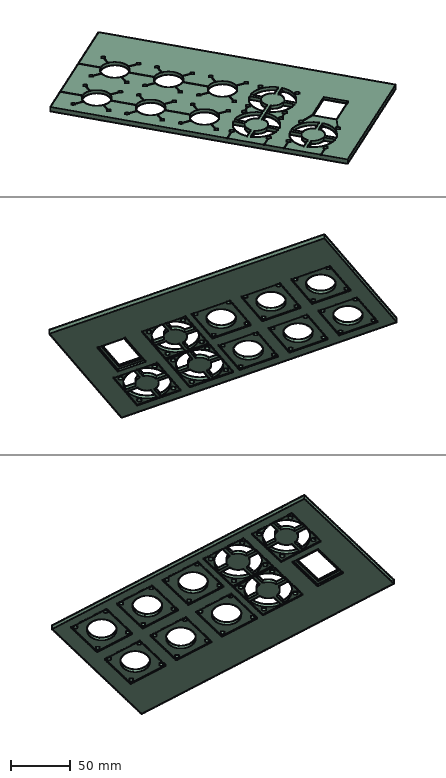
import cadquery as cq
import math

length = 262.0
width = 126.0
thickness = 4.5

connector_diameter = 25.0
connector_screw_diameter = 3.5
connector_screw_pitch = 31.2
connector_columns = 3
connector_rows = 2
connector_first_x = 32.2
connector_first_y = 26.2
connector_column_pitch = 47.5
connector_row_pitch = 47.2

fan_diameter = 39.8
hub_diameter = 19.6
strut_width = 3.1
fan_screw_diameter = 4.0
fan_screw_pitch = 32.5
left_fan_x = 172.1
right_fan_x = 222.2
lower_fan_y = 28.5
fan_pitch_y = 42.2

seat_web_thickness = 3.5
connector_seat_side = 36.7
fan_seat_side = 41.5

socket_width = 21.5
socket_height = 30.5
socket_bottom_y = 57.6
socket_lip_thickness = 2.0
socket_relief_margin = 2.5

groove_width = 0.1
groove_depth = 0.5

connector_xs = [connector_first_x + i * connector_column_pitch for i in range(connector_columns)]
connector_ys = [connector_first_y + i * connector_row_pitch for i in range(connector_rows)]
connector_centers = [(x, y) for x in connector_xs for y in connector_ys]
upper_fan_y = lower_fan_y + fan_pitch_y
lower_fans = [(left_fan_x, lower_fan_y), (right_fan_x, lower_fan_y)]
fan_centers = lower_fans + [(left_fan_x, upper_fan_y)]


def screw_points(center, pitch):
    """Corners of a square of side pitch around a center."""
    x, y = center
    half = pitch / 2
    return [(x + sx * half, y + sy * half) for sx in (-1, 1) for sy in (-1, 1)]


def through_holes(points, diameter):
    return cq.Workplane("XY").pushPoints(points).circle(diameter / 2).extrude(thickness)


def seats(points, side):
    """Square recesses in the underside that leave a thinner web above."""
    return cq.Workplane("XY").pushPoints(points).rect(side, side).extrude(thickness - seat_web_thickness)


def fan_opening(center):
    """Ring opening split into four quadrants by a cross of struts."""
    plane = cq.Workplane("XY").center(*center)
    ring = plane.circle(fan_diameter / 2).circle(hub_diameter / 2).extrude(thickness)
    strut_x = plane.rect(fan_diameter, strut_width).extrude(thickness)
    strut_y = plane.rect(strut_width, fan_diameter).extrude(thickness)
    return ring.cut(strut_x).cut(strut_y)


def groove(start, end):
    """Straight hairline groove in the top face between two points."""
    dx = end[0] - start[0]
    dy = end[1] - start[1]
    return (
        cq.Workplane("XY", origin=(0, 0, thickness - groove_depth))
        .transformed(
            offset=((start[0] + end[0]) / 2, (start[1] + end[1]) / 2, 0),
            rotate=(0, 0, math.degrees(math.atan2(dy, dx))),
        )
        .rect(math.hypot(dx, dy), groove_width)
        .extrude(groove_depth)
    )


result = cq.Workplane("XY").box(length, width, thickness, centered=False)

result = result.cut(seats(connector_centers, connector_seat_side))
result = result.cut(seats(fan_centers, fan_seat_side))

result = result.cut(through_holes(connector_centers, connector_diameter))
for center in connector_centers:
    result = result.cut(through_holes(screw_points(center, connector_screw_pitch), connector_screw_diameter))

for center in fan_centers:
    result = result.cut(fan_opening(center))
    result = result.cut(through_holes(screw_points(center, fan_screw_pitch), fan_screw_diameter))

socket_center = (right_fan_x, socket_bottom_y + socket_height / 2)
socket_plane = cq.Workplane("XY").center(*socket_center)
result = result.cut(socket_plane.rect(socket_width, socket_height).extrude(thickness))
relief_width = socket_width + 2 * socket_relief_margin
relief_height = socket_height + 2 * socket_relief_margin
result = result.cut(socket_plane.rect(relief_width, relief_height).extrude(thickness - socket_lip_thickness))

for y in connector_ys:
    result = result.cut(groove((0, y), (connector_xs[-1], y)))

for center in connector_centers:
    for point in screw_points(center, connector_screw_pitch):
        result = result.cut(groove(center, point))

half_pitch = fan_screw_pitch / 2
for side in (-1, 1):
    for x, y in lower_fans:
        column_x = x + side * half_pitch
        result = result.cut(groove((column_x, 0), (column_x, y - half_pitch)))
    left_column_x = left_fan_x + side * half_pitch
    result = result.cut(
        groove((left_column_x, lower_fan_y + half_pitch), (left_column_x, upper_fan_y - half_pitch))
    )
    socket_corner = (right_fan_x + side * socket_width / 2, socket_bottom_y)
    result = result.cut(groove(socket_corner, (right_fan_x + side * half_pitch, lower_fan_y + half_pitch)))